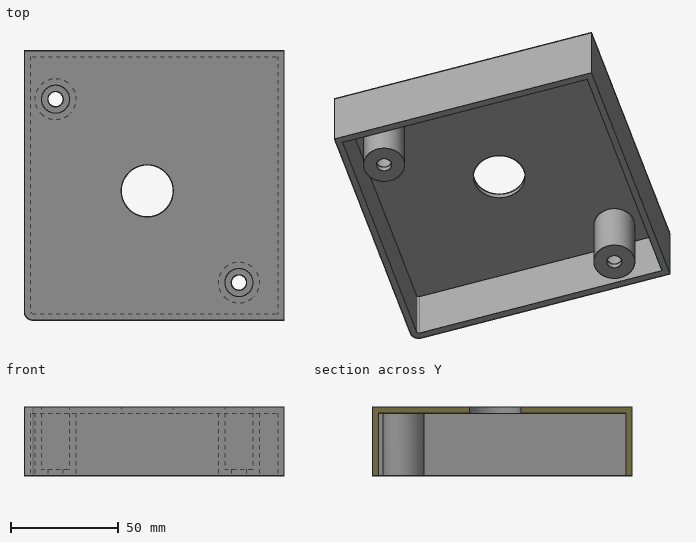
import cadquery as cq

width = 120.5
length = 125.0
height = 32.0
corner_radius = 4.0

top_thickness = 3.0
wall_thickness = 3.0

opening_diameter = 24.0
opening_x = 57.0
opening_y = 60.0
screw_offset = 42.5
screw_diameter = 7.0
counterbore_diameter = 13.0
floor_thickness = 3.0
post_diameter = counterbore_diameter + 2 * wall_thickness
screw_centers = [
    (opening_x - screw_offset, opening_y + screw_offset),
    (opening_x + screw_offset, opening_y - screw_offset),
]


def cylinder(center, diameter, bottom, top):
    """Vertical cylinder between two heights."""
    return (
        cq.Workplane("XY", origin=(*center, bottom))
        .circle(diameter / 2)
        .extrude(top - bottom)
    )


result = cq.Workplane("XY").box(width, length, height, centered=False)
result = result.edges("|Z and <X and <Y").fillet(corner_radius)

cavity = cq.Workplane("XY", origin=(wall_thickness, wall_thickness, 0)).box(
    width - 2 * wall_thickness,
    length - 2 * wall_thickness,
    height - top_thickness,
    centered=False,
)
cavity = cavity.edges("|Z and <X and <Y").fillet(corner_radius - wall_thickness)
result = result.cut(cavity)

result = result.cut(cylinder((opening_x, opening_y), opening_diameter, 0, height))

for center in screw_centers:
    result = result.union(cylinder(center, post_diameter, 0, height))
    result = result.cut(cylinder(center, counterbore_diameter, floor_thickness, height))
    result = result.cut(cylinder(center, screw_diameter, 0, height))